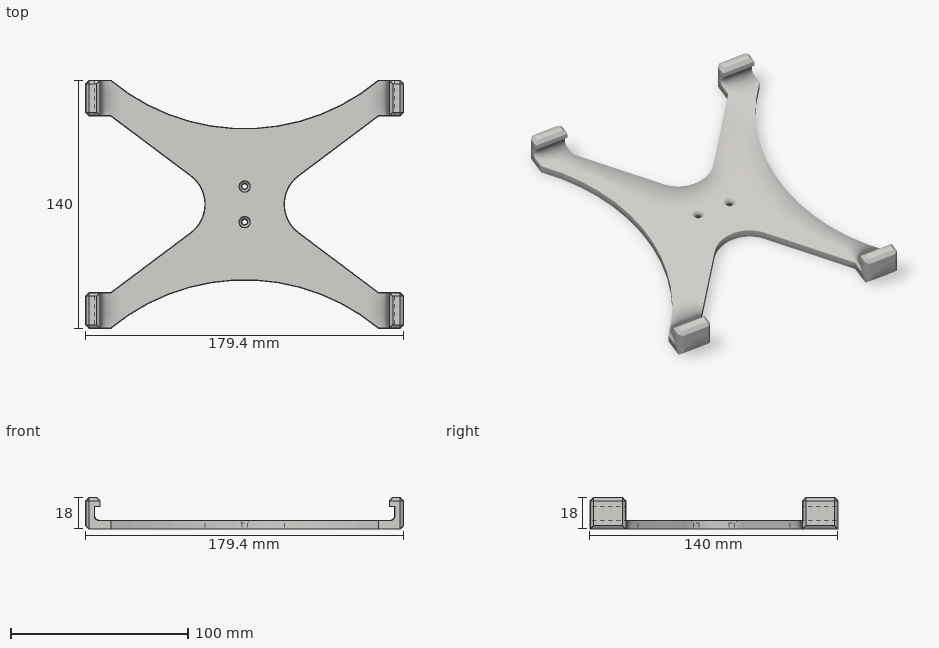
import cadquery as cq
import math

length = 179.4
width = 140.0
height = 18.0

plate_thickness = 5.0
end_width = 20.1
end_length = 14.2
half_middle = 42.7
half_waist = 22.5
notch_radius = 20.1

wall_thickness = 5.0
hook_reach = 8.0
lip_underside = 12.7
hook_chamfer = 2.0
inner_fillet = 2.5

hole_spacing = 20.1
hole_diameter = 3.0
sink_diameter = 6.3
sink_half_angle = 45
sink_depth = (sink_diameter - hole_diameter) / 2 / math.tan(math.radians(sink_half_angle))

half_length = length / 2
half_width = width / 2
end_x = half_length - end_length
inner_y = half_width - end_width


def make_plate():
    center_x = half_waist + notch_radius
    dx = end_x - center_x
    center_distance = math.hypot(dx, inner_y)
    slope = math.atan2(inner_y, dx) - math.asin(notch_radius / center_distance)
    tangent_x = center_x - notch_radius * math.sin(slope)
    tangent_y = notch_radius * math.cos(slope)

    return (
        cq.Workplane("XY")
        .moveTo(-end_x, half_width)
        .threePointArc((0, half_middle), (end_x, half_width))
        .lineTo(half_length, half_width)
        .lineTo(half_length, inner_y)
        .lineTo(end_x, inner_y)
        .lineTo(tangent_x, tangent_y)
        .threePointArc((half_waist, 0), (tangent_x, -tangent_y))
        .lineTo(end_x, -inner_y)
        .lineTo(half_length, -inner_y)
        .lineTo(half_length, -half_width)
        .lineTo(end_x, -half_width)
        .threePointArc((0, -half_middle), (-end_x, -half_width))
        .lineTo(-half_length, -half_width)
        .lineTo(-half_length, -inner_y)
        .lineTo(-end_x, -inner_y)
        .lineTo(-tangent_x, -tangent_y)
        .threePointArc((-half_waist, 0), (-tangent_x, tangent_y))
        .lineTo(-end_x, inner_y)
        .lineTo(-half_length, inner_y)
        .lineTo(-half_length, half_width)
        .close()
        .extrude(plate_thickness)
    )


def make_hook():
    """Hook on the +X, +Y arm end, chamfered around its outer and top faces."""
    block = (
        cq.Workplane("XY")
        .box(hook_reach, end_width, height, centered=False)
        .translate((half_length - hook_reach, inner_y, 0))
        .faces(">X or >Z")
        .edges()
        .chamfer(hook_chamfer)
    )
    mouth = (
        cq.Workplane("XY")
        .box(hook_reach - wall_thickness, end_width, lip_underside - plate_thickness, centered=False)
        .translate((half_length - hook_reach, inner_y, plate_thickness))
        .edges("|Y and >X and <Z")
        .fillet(inner_fillet)
    )
    return block.cut(mouth)


hook_start = half_length - hook_reach
plate_space = cq.Workplane("XY").box(2 * hook_start, width, 2 * plate_thickness)
result = make_plate().intersect(plate_space)

right_back_hook = make_hook()
right_front_hook = right_back_hook.mirror("XZ")
for hook in (right_back_hook, right_front_hook):
    result = result.union(hook).union(hook.mirror("YZ"))

plate_top = cq.Workplane("XY").workplane(offset=plate_thickness)
hole_cutter = (
    cq.Workplane("XY")
    .circle(hole_diameter / 2)
    .extrude(plate_thickness)
    .union(plate_top.circle(sink_diameter / 2).extrude(-sink_depth, taper=sink_half_angle))
)
for hole_y in (-hole_spacing / 2, hole_spacing / 2):
    result = result.cut(hole_cutter.translate((0, hole_y, 0)))